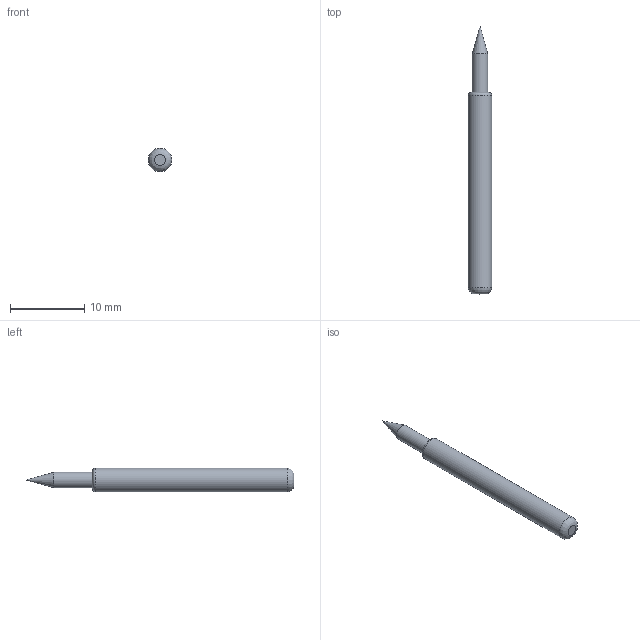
import cadquery as cq

total_length = 36.1
shank_diameter = 3.16
neck_diameter = 2.1

point_length = 3.75
neck_length = 5.2

butt_round = 0.85
shoulder_round = 0.4

shank_radius = shank_diameter / 2
neck_radius = neck_diameter / 2
point_base = total_length - point_length
shank_length = point_base - neck_length


def make_shank():
    """Cylinder from the butt end to the shoulder, with both end edges rounded."""
    shank = cq.Workplane("XZ").circle(shank_radius).extrude(-shank_length)
    return shank.faces("<Y").edges().fillet(butt_round).faces(">Y").edges().fillet(shoulder_round)


def make_pointed_neck():
    """Slim neck ahead of the shoulder, ending in a sharp cone."""
    half_profile = (
        cq.Workplane("XY")
        .moveTo(0, shank_length)
        .lineTo(neck_radius, shank_length)
        .lineTo(neck_radius, point_base)
        .lineTo(0, total_length)
        .close()
    )
    return half_profile.revolve(360, (0, 0), (0, 1))


result = make_shank().union(make_pointed_neck())